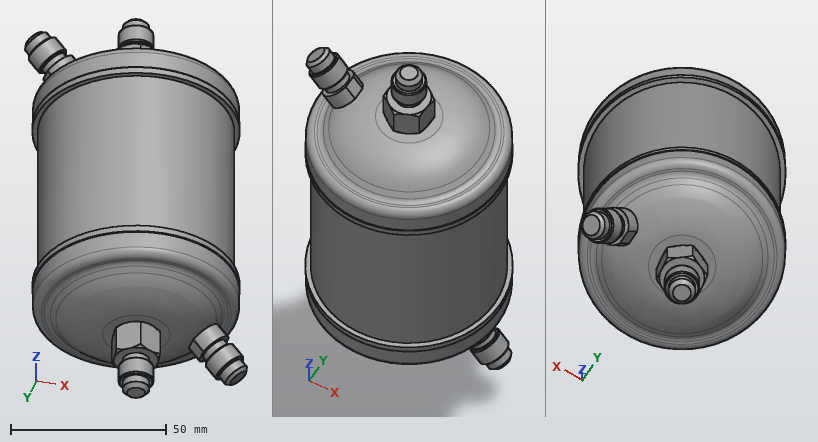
import cadquery as cq
import math

height = 145.0
half_height = height / 2
dome_top = 49.5
rim_top = 41.0
rim_bottom = 30.0
lip_top = 32.2
lip_bevel_height = 0.3

body_radius = 31.8
lip_radius = 33.5
rim_radius = 33.4
rim_fillet = 2.8
dome_flat_radius = 10.9
dome_arc_radius = 21.8
dome_foot_radius = 29.7
dome_foot_fillet = 2.9
dome_slope = math.radians(44)

collar_radius = 5.7
collar_chamfer = 0.5
collar_start = 4.0
collar_end = 10.3
stub_length = 12.8

main_stub_radius = 4.4
main_tip_chamfer = 1.5
hex_across_flats = 14.4
hex_turn = 23.2
hex_chamfer_radius = 7.2
hex_chamfer_height = 0.9

port_stub_radius = 4.5
port_tip_chamfer = 1.2
port_elevation = 50.0
port_tip_x = -34.5
port_tip_z = 59.6
port_base_radius = 6.1
port_base_across_flats = 11.2
port_base_length = 5.4


def make_end_cap():
    """Solid upper end cap: stepped rim and domed top."""
    sin_slope = math.sin(dome_slope)
    cos_slope = math.cos(dome_slope)
    sin_half = math.sin(dome_slope / 2)
    cos_half = math.cos(dome_slope / 2)

    dome_center_z = dome_top - dome_arc_radius
    dome_mid = (dome_flat_radius + dome_arc_radius * sin_half, dome_center_z + dome_arc_radius * cos_half)
    dome_end = (dome_flat_radius + dome_arc_radius * sin_slope, dome_center_z + dome_arc_radius * cos_slope)

    foot_center_z = rim_top + dome_foot_fillet
    foot_start = (dome_foot_radius - dome_foot_fillet * sin_slope, foot_center_z - dome_foot_fillet * cos_slope)
    foot_mid = (dome_foot_radius - dome_foot_fillet * sin_half, foot_center_z - dome_foot_fillet * cos_half)

    fillet_offset = rim_fillet * math.sqrt(0.5)
    fillet_center = (rim_radius - rim_fillet, rim_top - rim_fillet)
    fillet_mid = (fillet_center[0] + fillet_offset, fillet_center[1] + fillet_offset)

    return (
        cq.Workplane("XZ")
        .moveTo(0, rim_bottom)
        .lineTo(lip_radius, rim_bottom)
        .lineTo(lip_radius, lip_top)
        .lineTo(rim_radius, lip_top + lip_bevel_height)
        .lineTo(rim_radius, fillet_center[1])
        .threePointArc(fillet_mid, (fillet_center[0], rim_top))
        .lineTo(dome_foot_radius, rim_top)
        .threePointArc(foot_mid, foot_start)
        .lineTo(*dome_end)
        .threePointArc(dome_mid, (dome_flat_radius, dome_top))
        .lineTo(0, dome_top)
        .close()
        .revolve(360, (0, 0), (0, 1))
    )


def make_stub(radius, tip_chamfer):
    """Stub with a collar, its tip at the origin, running down along -Z."""
    stub = cq.Workplane("XY").circle(radius).extrude(-stub_length).faces(">Z").chamfer(tip_chamfer)
    collar = (
        cq.Workplane("XY", origin=(0, 0, -collar_end))
        .circle(collar_radius)
        .extrude(collar_end - collar_start)
        .faces("<Z or >Z")
        .chamfer(collar_chamfer)
    )
    return stub.union(collar)


def make_main_fitting():
    """Hexagon standing on the dome, with the stub above it."""
    hex_top = half_height - stub_length
    hex_height = hex_top - dome_top
    corner_radius = hex_across_flats / 2 / math.cos(math.pi / 6)
    hexagon = (
        cq.Workplane("XY", origin=(0, 0, dome_top))
        .transformed(rotate=(0, 0, hex_turn))
        .polygon(6, 2 * corner_radius)
        .extrude(hex_height)
    )
    blank = (
        cq.Workplane("XY", origin=(0, 0, dome_top))
        .circle(corner_radius)
        .extrude(hex_height)
        .faces("<Z or >Z")
        .chamfer(hex_chamfer_height, corner_radius - hex_chamfer_radius)
    )
    stub = make_stub(main_stub_radius, main_tip_chamfer).translate((0, 0, half_height))
    return hexagon.intersect(blank).union(stub)


def make_side_port():
    """Slanted fitting on the -X shoulder of the dome, with two flats on its base."""
    base_bottom = -stub_length - port_base_length
    flats = cq.Workplane("XY", origin=(0, 0, base_bottom)).rect(port_base_across_flats, 2 * port_base_radius)
    base = (
        cq.Workplane("XY", origin=(0, 0, base_bottom))
        .circle(port_base_radius)
        .extrude(port_base_length)
        .intersect(flats.extrude(port_base_length))
    )
    return (
        make_stub(port_stub_radius, port_tip_chamfer)
        .union(base)
        .rotate((0, 0, 0), (0, 1, 0), port_elevation - 90)
        .translate((port_tip_x, 0, port_tip_z))
    )


upper_end = make_end_cap().union(make_main_fitting())
lower_end = upper_end.mirror("XY")
body = cq.Workplane("XY").circle(body_radius).extrude(rim_bottom, both=True)

upper_port = make_side_port()
lower_port = upper_port.rotate((0, 0, 0), (0, 1, 0), 180)

result = body.union(upper_end).union(lower_end).union(upper_port).union(lower_port).clean()